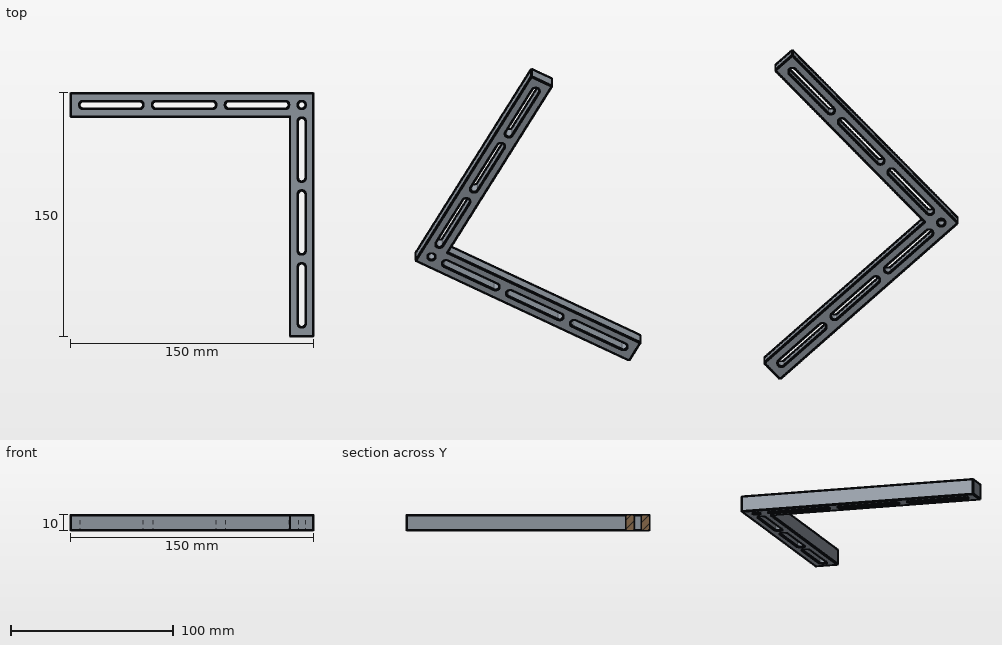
import cadquery as cq

ARM_LENGTH = 150.0
ARM_WIDTH = 15.0
THICKNESS = 10.0
OUTER_CHAMFER = 0.6
MOUTH_CHAMFER = 0.6
HOLE_DIAMETER = 4.2
SLOTS_PER_ARM = 3
SLOT_LENGTH = 38.8
SLOT_GAP = 6.0

HALF_LENGTH = ARM_LENGTH / 2
ARM_AXIS = HALF_LENGTH - ARM_WIDTH / 2
INNER_SIDE = HALF_LENGTH - ARM_WIDTH
SLOT_SPACING = SLOT_LENGTH + SLOT_GAP
FIRST_SLOT = -HALF_LENGTH + SLOT_GAP + SLOT_LENGTH / 2
SLOT_CENTRES = [FIRST_SLOT + i * SLOT_SPACING for i in range(SLOTS_PER_ARM)]


def make_body():
    """L-shaped body with its corner at +X +Y, chamfered except in the inner corner."""
    outline = [
        (-HALF_LENGTH, HALF_LENGTH),
        (HALF_LENGTH, HALF_LENGTH),
        (HALF_LENGTH, -HALF_LENGTH),
        (INNER_SIDE, -HALF_LENGTH),
        (INNER_SIDE, INNER_SIDE),
        (-HALF_LENGTH, INNER_SIDE),
    ]
    body = cq.Workplane("XY").polyline(outline).close().extrude(THICKNESS)
    inner_corner_point = (INNER_SIDE, INNER_SIDE, THICKNESS / 2)
    inner_corner = body.edges(cq.selectors.NearestToPointSelector(inner_corner_point)).val()
    outer_edges = [edge for edge in body.edges().vals() if not edge.isSame(inner_corner)]
    return body.newObject(outer_edges).chamfer(OUTER_CHAMFER)


def make_slots(centres, angle):
    """A row of slot cutters turned by the given angle from X."""
    return cq.Workplane("XY").pushPoints(centres).slot2D(SLOT_LENGTH, HOLE_DIAMETER, angle).extrude(THICKNESS)


def cut_openings(body):
    """Cut through slots along both arms and a round hole at the corner."""
    x_arm_slots = make_slots([(position, ARM_AXIS) for position in SLOT_CENTRES], 0)
    y_arm_slots = make_slots([(ARM_AXIS, position) for position in SLOT_CENTRES], 90)
    corner_hole = cq.Workplane("XY").center(ARM_AXIS, ARM_AXIS).circle(HOLE_DIAMETER / 2).extrude(THICKNESS)
    return body.cut(x_arm_slots).cut(y_arm_slots).cut(corner_hole)


def chamfer_mouths(body):
    """Chamfer both rims of every opening."""
    rims = [wire for face in body.faces("<Z or >Z").vals() for wire in face.innerWires()]
    rim_edges = [edge for rim in rims for edge in rim.Edges()]
    return body.newObject(rim_edges).chamfer(MOUTH_CHAMFER)


result = chamfer_mouths(cut_openings(make_body()))